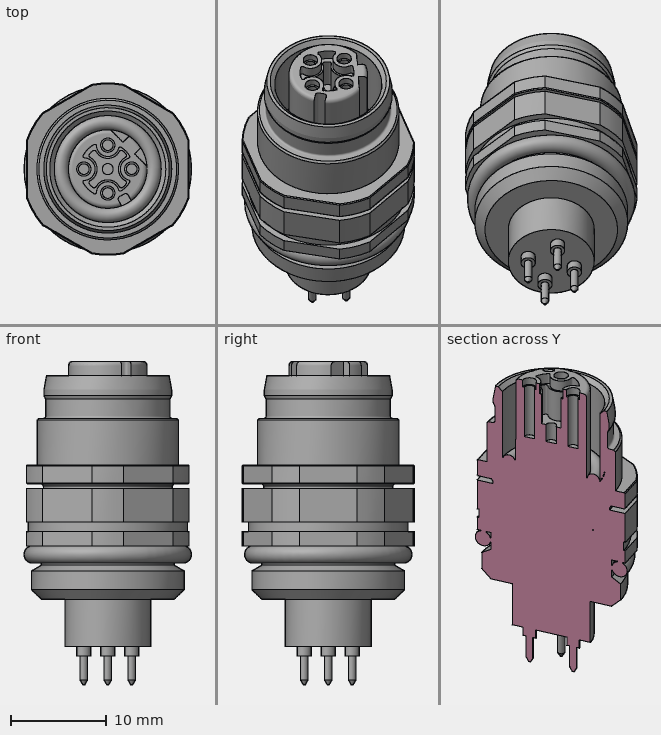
import cadquery as cq
import math


TOTAL_HEIGHT = 33.8
BASE_BOTTOM = 4.0
FLANGE_BOTTOM = 8.92
FLANGE_TOP = 11.9
FLANGE_CONE_TOP = 12.5
HEX_BOTTOM = 14.5
GROOVE_BOTTOM = 16.02
GROOVE_TOP = 17.0
HEX_TOP = 20.5
NUT_CONE_BOTTOM = 20.75
NUT_BOTTOM = 21.0
NUT_TOP = 23.0
BARREL_TOP = 27.85
COLLAR_BOTTOM = 29.85
COLLAR_EDGE = 30.22
COLLAR_TAPER = 30.83
RIM_TOP = 32.3

BASE_DIA = 9.0
FLANGE_DIA = 16.0
FLANGE_BOTTOM_DIA = 13.85
CORE_DIA = 13.93
GROOVE_DIA = 16.7
NECK_DIA = 13.5
NUT_CONE_DIA = 13.8
BARREL_DIA = 14.8
COLLAR_DIA = 13.4
RIM_DIA = 12.85
COLLAR_NECK_DIA = 13.0
FLANGE_CHAMFER = 1.0
BARREL_CHAMFER = 0.2
NECK_FILLET = 0.2

HEX_FLATS = 17.0
HEX_CORNER_DIA = 18.0
NUT_CHAMFER = 0.1

SEAL_DIA = 17.5
SEAL_SECTION = 1.83
SEAL_PRESS = 0.05

CAVITY_DIA = 11.2
CAVITY_MOUTH_DIA = 12.15
CAVITY_FLOOR = NUT_TOP + 0.68
INSERT_DIA = 8.2
INSERT_FILLET = 0.45

CONTACT_RADIUS = 2.5
CONTACT_COUNT = 4
SOCKET_MOUTH_DIA = 1.5
SOCKET_MOUTH_DEPTH = 0.8
SOCKET_DIA = 1.1
SOCKET_DEPTH = 6.75
CENTRE_SOCKET_DIA = 1.15

CROSS_LEFT_RADIUS = 2.95
CROSS_RIGHT_RADIUS = 2.67
CROSS_WALL_RADIUS = 1.18
CROSS_STEP_DEPTH = 1.18
CROSS_CORE_RADIUS = 2.47
CROSS_CORE_WALL_RADIUS = 1.4
CROSS_DEPTH = 4.73
CROSS_CORNER_FILLET = 0.17
CROSS_CORE_FILLET = 0.25

TOOTH_ANGLE = 45.0
TOOTH_WIDTH = 1.72
TOOTH_FLAT_OFFSET = 3.1
KEYWAY_ANGLE = -61.4
KEYWAY_WIDTH = 1.15
KEYWAY_FLOOR_OFFSET = 3.1
KEYWAY_FILLET = 0.3

PIN_DIA = 0.8
PIN_COLLAR_DIA = 1.5
PIN_COLLAR_BOTTOM = 3.0
PIN_TAPER = 0.5
PIN_TIP_DIA = 0.2


def disc(diameter, bottom, top):
    return cq.Workplane("XY").workplane(offset=bottom).circle(diameter / 2).extrude(top - bottom)


def revolve_profile(points):
    """Turn a closed outline of (radius, z) points about the Z axis."""
    return cq.Workplane("XZ").polyline(points).close().revolve(360, (0, 0), (0, 1))


def outer_seal():
    """Round-section ring pressed against the underside of the lower hexagon."""
    ring_radius = (SEAL_DIA - SEAL_SECTION) / 2
    ring_z = HEX_BOTTOM + SEAL_PRESS - SEAL_SECTION / 2
    section = cq.Workplane("XZ").center(-ring_radius, ring_z).circle(SEAL_SECTION / 2)
    return section.revolve(360, (ring_radius, 0), (ring_radius, 1))


def hexagon(bottom, top):
    """Hexagon with two flats facing X and its corners turned round."""
    prism = (
        cq.Workplane("XY")
        .workplane(offset=bottom)
        .polygon(6, HEX_FLATS / math.cos(math.pi / 6))
        .extrude(top - bottom)
        .rotate((0, 0, 0), (0, 0, 1), 30)
    )
    return prism.intersect(disc(HEX_CORNER_DIA, bottom, top))


def contact_points():
    angles = [2 * math.pi * i / CONTACT_COUNT for i in range(CONTACT_COUNT)]
    return [(CONTACT_RADIUS * math.cos(a), CONTACT_RADIUS * math.sin(a)) for a in angles]


def turned_body():
    """Base, flange, barrel and collar as one turned piece."""
    base_r, flange_r, core_r = BASE_DIA / 2, FLANGE_DIA / 2, CORE_DIA / 2
    neck_r, barrel_r, rim_r = NECK_DIA / 2, BARREL_DIA / 2, RIM_DIA / 2
    collar_r, collar_neck_r = COLLAR_DIA / 2, COLLAR_NECK_DIA / 2
    outline = (
        cq.Workplane("XZ")
        .moveTo(0, BASE_BOTTOM)
        .lineTo(base_r, BASE_BOTTOM)
        .lineTo(base_r, FLANGE_BOTTOM)
        .lineTo(FLANGE_BOTTOM_DIA / 2, FLANGE_BOTTOM)
        .lineTo(flange_r, FLANGE_BOTTOM + FLANGE_CHAMFER)
        .lineTo(flange_r, FLANGE_TOP)
        .lineTo(core_r, FLANGE_CONE_TOP)
        .lineTo(core_r, HEX_BOTTOM)
        .lineTo(neck_r, HEX_BOTTOM)
        .lineTo(neck_r, NUT_CONE_BOTTOM)
        .lineTo(NUT_CONE_DIA / 2, NUT_BOTTOM)
        .lineTo(barrel_r, NUT_BOTTOM)
        .lineTo(barrel_r, BARREL_TOP - BARREL_CHAMFER)
        .lineTo(barrel_r - BARREL_CHAMFER, BARREL_TOP)
        .lineTo(collar_neck_r + NECK_FILLET, BARREL_TOP)
        .radiusArc((collar_neck_r, BARREL_TOP + NECK_FILLET), NECK_FILLET)
        .lineTo(collar_neck_r, COLLAR_BOTTOM)
        .lineTo(collar_r, COLLAR_EDGE)
        .lineTo(collar_r, COLLAR_TAPER)
        .lineTo(rim_r, RIM_TOP)
        .lineTo(0, RIM_TOP)
        .close()
    )
    return outline.revolve(360, (0, 0), (0, 1))


def cavity():
    """Round front cavity with a 45 degree mouth and a half-round bead around its floor."""
    mouth_r, bore_r, insert_r = CAVITY_MOUTH_DIA / 2, CAVITY_DIA / 2, INSERT_DIA / 2
    bead_height = (bore_r - insert_r) / 2
    bead_crest = ((bore_r + insert_r) / 2, CAVITY_FLOOR + bead_height)
    outline = (
        cq.Workplane("XZ")
        .moveTo(0, CAVITY_FLOOR)
        .lineTo(insert_r, CAVITY_FLOOR)
        .threePointArc(bead_crest, (bore_r, CAVITY_FLOOR))
        .lineTo(bore_r, RIM_TOP - (mouth_r - bore_r))
        .lineTo(mouth_r, RIM_TOP)
        .lineTo(0, RIM_TOP)
        .close()
    )
    return outline.revolve(360, (0, 0), (0, 1))


def cross_layer(left_radius, right_radius, wall_radius, depth, corner_fillet):
    """Four-armed recess: a disc less a round wall about each socket, from the insert face down."""
    bottom = TOTAL_HEIGHT - depth
    half_length = INSERT_DIA / 2
    left_half = cq.Workplane("XY").box(
        half_length, INSERT_DIA, depth, centered=(False, True, False)
    ).translate((-half_length, 0, bottom))
    right_half = left_half.mirror("YZ")
    arms = disc(2 * left_radius, bottom, TOTAL_HEIGHT).intersect(left_half)
    arms = arms.union(disc(2 * right_radius, bottom, TOTAL_HEIGHT).intersect(right_half))
    walls = (
        cq.Workplane("XY")
        .workplane(offset=bottom)
        .pushPoints(contact_points())
        .circle(wall_radius)
        .extrude(depth)
    )
    return arms.cut(walls).edges("|Z").fillet(corner_fillet)


def coding_flats():
    """Cuts that flatten one side of the insert and leave a tooth in its middle."""
    depth = TOTAL_HEIGHT - CAVITY_FLOOR
    reach = INSERT_DIA / 2 - TOOTH_FLAT_OFFSET
    slab = cq.Workplane("XY").box(reach, INSERT_DIA, depth, centered=(False, True, False))
    tooth = cq.Workplane("XY").box(reach, TOOTH_WIDTH, depth, centered=(False, True, False))
    cuts = slab.cut(tooth).translate((TOOTH_FLAT_OFFSET, 0, CAVITY_FLOOR))
    return cuts.rotate((0, 0, 0), (0, 0, 1), TOOTH_ANGLE)


def keyway():
    """Slot down the side of the insert, with rounded inner corners."""
    reach = INSERT_DIA / 2 - KEYWAY_FLOOR_OFFSET
    depth = TOTAL_HEIGHT - CAVITY_FLOOR
    slot = cq.Workplane("XY").box(reach, KEYWAY_WIDTH, depth, centered=(False, True, False))
    slot = slot.edges("|Z and <X").fillet(KEYWAY_FILLET)
    slot = slot.translate((KEYWAY_FLOOR_OFFSET, 0, CAVITY_FLOOR))
    return slot.rotate((0, 0, 0), (0, 0, 1), KEYWAY_ANGLE)


def sockets():
    """Stepped contact holes, plus a plain one in the middle."""
    mouth = disc(SOCKET_MOUTH_DIA, TOTAL_HEIGHT - SOCKET_MOUTH_DEPTH, TOTAL_HEIGHT)
    hole = mouth.union(disc(SOCKET_DIA, TOTAL_HEIGHT - SOCKET_DEPTH, TOTAL_HEIGHT))
    holes = disc(CENTRE_SOCKET_DIA, TOTAL_HEIGHT - SOCKET_DEPTH, TOTAL_HEIGHT)
    for x, y in contact_points():
        holes = holes.union(hole.translate((x, y, 0)))
    return holes


def insert():
    body = disc(INSERT_DIA, CAVITY_FLOOR, TOTAL_HEIGHT).faces(">Z").edges().fillet(INSERT_FILLET)
    upper_cross = cross_layer(
        CROSS_LEFT_RADIUS, CROSS_RIGHT_RADIUS, CROSS_WALL_RADIUS, CROSS_STEP_DEPTH, CROSS_CORNER_FILLET
    )
    lower_cross = cross_layer(
        CROSS_CORE_RADIUS, CROSS_CORE_RADIUS, CROSS_CORE_WALL_RADIUS, CROSS_DEPTH, CROSS_CORE_FILLET
    )
    for cutter in (upper_cross, lower_cross, sockets(), coding_flats(), keyway()):
        body = body.cut(cutter)
    return body


def pin():
    """Solder pin on the Z axis, with a collar and a pointed tip."""
    collar_r, pin_r = PIN_COLLAR_DIA / 2, PIN_DIA / 2
    return revolve_profile([
        (0, 0),
        (PIN_TIP_DIA / 2, 0),
        (pin_r, PIN_TAPER),
        (pin_r, PIN_COLLAR_BOTTOM),
        (collar_r, PIN_COLLAR_BOTTOM),
        (collar_r, BASE_BOTTOM),
        (0, BASE_BOTTOM),
    ])


nut = hexagon(NUT_BOTTOM, NUT_TOP).faces("<Z or >Z").edges().chamfer(NUT_CHAMFER)

shell = (
    turned_body()
    .union(hexagon(HEX_BOTTOM, GROOVE_BOTTOM))
    .union(disc(GROOVE_DIA, GROOVE_BOTTOM, GROOVE_TOP))
    .union(hexagon(GROOVE_TOP, HEX_TOP))
    .union(nut)
    .union(outer_seal())
    .cut(cavity())
)

result = shell.union(insert())
for pin_x, pin_y in contact_points():
    result = result.union(pin().translate((pin_x, pin_y, 0)))